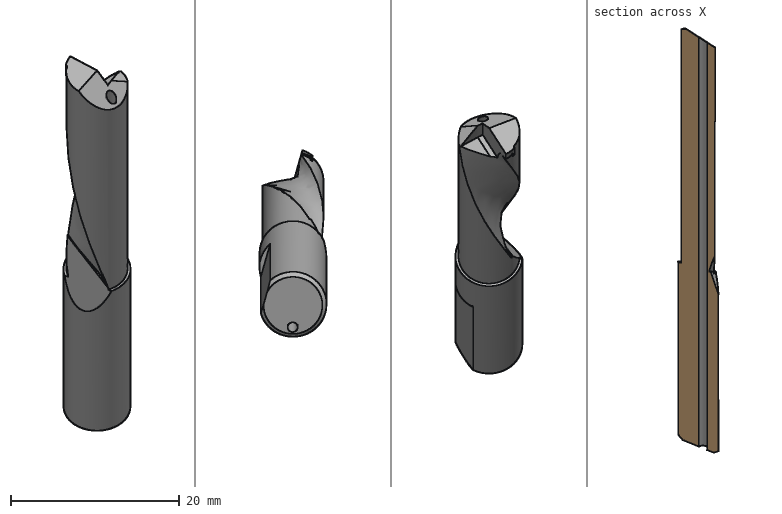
import cadquery as cq
import math

total_length = 60.0
shank_radius = 4.0
shank_length = 24.8
shank_chamfer = 0.5
head_radius = 3.65
clear = 2 * shank_radius

flat_offset = 3.4
flat_length = 18.0

coolant_diameter = 1.2
coolant_x = 2.6
coolant_y = -0.68

flute_twist_rate = 4.4
flute_bottom = 20.0
flute_rim_radius = 4.8
flute_rake_angle = 168.0
flute_heel_angle = 54.5
flute_rake_end = (-1.85, 0.5)
flute_heel_end = (-0.35, 1.45)

runout_tip = (0.6, -3.95, 21.4)
runout_left = (-3.4, -1.3, 29.6)
runout_right = (2.9, -1.91, 25.1)

end_dish_slope = 0.17
steep_dish_slope = 0.22
ridge_x = 0.1
steep_slope = 1.0
heel_ridge_start = (1.67, 0.58)
heel_ridge_end = (3.08, 2.47)
heel_relief_corner = (0.85, 3.4, 57.25)

gash_rake_y = -0.1
gash_floor_z = 55.3
gash_wall_start = (1.67, 0.58)
gash_wall_end = (0.85, 3.4)

margin_radius = 3.85
margin_width = 1.45
margin_length = 1.4
margin_step_width = 0.3
margin_step_length = 2.0


def half_space(point, normal):
    """Large block filling the side of a plane that its normal points to."""
    plane = cq.Plane(origin=point, normal=normal)
    size = 2 * total_length
    return cq.Workplane(plane).rect(size, size).extrude(size)


def vector_between(start, end):
    """Vector from one point to another."""
    return cq.Vector(*end) - cq.Vector(*start)


def polar(radius, angle):
    """X and Y of a point given by its radius and its angle in degrees."""
    return (radius * math.cos(math.radians(angle)), radius * math.sin(math.radians(angle)))


def steep_face_height(x, y):
    """Z of the steep end face above a point."""
    return total_length - steep_slope * (x - ridge_x) + steep_dish_slope * (y - gash_rake_y)


def make_blank():
    """Chamfered shank carrying the plain round head."""
    shank = cq.Workplane("XY").circle(shank_radius).extrude(shank_length)
    shank = shank.faces("<Z").chamfer(shank_chamfer)
    head = cq.Workplane("XY").circle(head_radius).extrude(total_length)
    head = head.intersect(half_space((0, 0, shank_length / 2), (0, 0, 1)))
    return shank.union(head)


def make_margin():
    """Thin land standing proud of the head next to the cutting corner."""
    land = cq.Workplane("XY")
    strips = (
        (margin_width, margin_length),
        (margin_step_width, margin_step_length),
    )
    for width, length in strips:
        strip = (
            cq.Workplane("XY", origin=(0, 0, total_length - length))
            .center(-margin_radius / 2, -margin_width + width / 2)
            .rect(margin_radius, width)
            .extrude(length)
        )
        land = land.add(strip)
    land = land.combine()
    limit = cq.Workplane("XY").circle(margin_radius).extrude(total_length)
    return land.intersect(limit)


def make_shank_flat():
    """Waste beyond the clamping flat."""
    return (
        cq.Workplane("XY")
        .center(0, flat_offset + clear / 2)
        .rect(2 * clear, clear)
        .extrude(flat_length)
    )


def make_coolant_hole():
    """Straight hole through the full length of the part."""
    return (
        cq.Workplane("XY")
        .center(coolant_x, coolant_y)
        .circle(coolant_diameter / 2)
        .extrude(total_length)
    )


def make_flute():
    """Twisted flute, and the flat run-out that continues it into the shank."""
    height = total_length - flute_bottom
    twist = flute_twist_rate * height
    rake_rim = polar(flute_rim_radius, flute_rake_angle)
    rim_middle = polar(flute_rim_radius, (flute_rake_angle + flute_heel_angle) / 2)
    heel_rim = polar(flute_rim_radius, flute_heel_angle)
    helix = (
        cq.Workplane("XY")
        .moveTo(*rake_rim)
        .spline([flute_rake_end, flute_heel_end, heel_rim], includeCurrent=True)
        .threePointArc(rim_middle, rake_rim)
        .close()
        .twistExtrude(height, -twist)
        .rotate((0, 0, 0), (0, 0, 1), twist)
        .translate((0, 0, flute_bottom))
    )
    upper_edge = vector_between(runout_left, runout_right)
    slope = vector_between(runout_tip, runout_left)
    outward = slope.cross(upper_edge)
    if outward.y > 0:
        outward = outward * -1
    downward = upper_edge.cross(outward)
    if downward.z > 0:
        downward = downward * -1
    below_flute = half_space(runout_left, downward)
    runout = half_space(runout_tip, outward).intersect(below_flute)
    return helix.cut(below_flute), runout


def make_end_relief():
    """Everything above the two end faces and the heel relief."""
    level_waste = half_space((0, gash_rake_y, total_length), (0, -end_dish_slope, 1))
    steep_waste = half_space(
        (ridge_x, gash_rake_y, total_length), (steep_slope, -steep_dish_slope, 1)
    )
    start = (*heel_ridge_start, steep_face_height(*heel_ridge_start))
    end = (*heel_ridge_end, steep_face_height(*heel_ridge_end))
    heel_normal = vector_between(start, end).cross(vector_between(start, heel_relief_corner))
    behind_ridge = half_space(start, (0, 1, 0))
    heel_waste = half_space(start, heel_normal).intersect(behind_ridge)
    return level_waste, steep_waste, heel_waste


def make_gash():
    """Notch open toward -X, with a level root and a floor rising toward +Y."""
    rise = (heel_relief_corner[2] - gash_floor_z) / (gash_wall_end[1] - gash_wall_start[1])
    outer_z = gash_floor_z + rise * (clear - gash_wall_start[1])
    top = total_length + clear
    notch = (
        cq.Workplane("YZ", origin=(-clear, 0, 0))
        .polyline([
            (gash_rake_y, gash_floor_z),
            (gash_wall_start[1], gash_floor_z),
            (clear, outer_z),
            (clear, top),
            (gash_rake_y, top),
        ])
        .close()
        .extrude(2 * clear)
    )
    wall_x = gash_wall_end[0] - gash_wall_start[0]
    wall_y = gash_wall_end[1] - gash_wall_start[1]
    beyond_wall = half_space((*gash_wall_start, 0), (wall_y, -wall_x, 0))
    beyond_wall = beyond_wall.union(half_space((gash_wall_start[0], 0, 0), (1, 0, 0)))
    return notch.cut(beyond_wall)


result = make_blank().union(make_margin())
result = result.cut(make_shank_flat()).cut(make_coolant_hole())
for waste in (*make_flute(), *make_end_relief(), make_gash()):
    result = result.cut(waste)